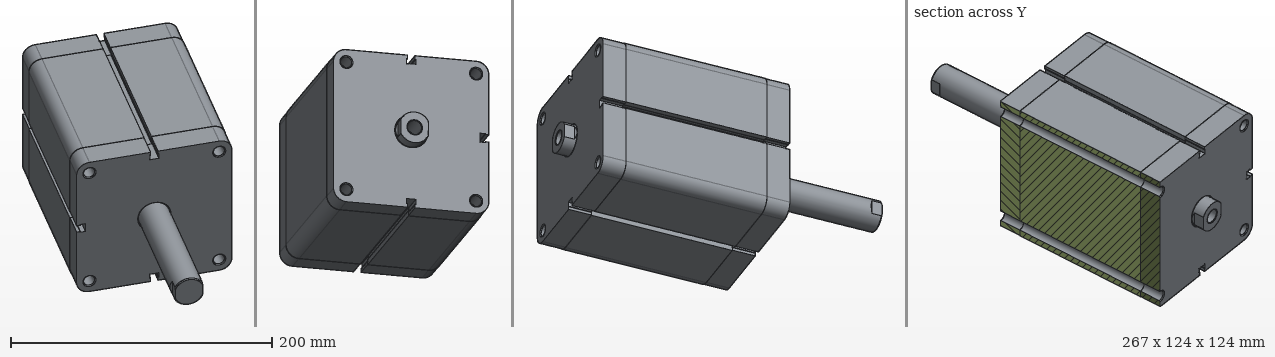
import cadquery as cq
import math

SHAFT_LENGTH = 267.0
CAP_START = 10.0
CAP_LENGTH = 19.2
BARREL_LENGTH = 118.3
BARREL_START = CAP_START + CAP_LENGTH
BARREL_END = BARREL_START + BARREL_LENGTH

BARREL_SIDE = 124.0
CAP_SIDE = 123.4
CAP_CORNER_RADIUS = 10.1
BARREL_CORNER_RADIUS = CAP_CORNER_RADIUS + (BARREL_SIDE - CAP_SIDE) / 2

TIE_ROD_SPACING = 103.0
TIE_ROD_HOLE_DIAMETER = 8.8
MOUTH_CHAMFER = 0.8

SLOT_MOUTH = 6.0
SLOT_DEPTH = 7.2
CAP_SLOT_WIDTH = 7.2
CAP_LIP_DEPTH = 3.2
BARREL_SLOT_WIDTH = 6.5
BARREL_LIP_DEPTH = 4.5
SLOT_SIDE_ANGLES = (0, 90, 180)

SHAFT_DIAMETER = 24.8
FLATS_WIDTH = 22.0
FLAT_LENGTH = 8.5
TIP_CHAMFER = 0.8
SOCKET_DIAMETER = 11.2
SOCKET_CHAMFER = 0.5
SOCKET_DEPTH = 24.0
DRILL_POINT_ANGLE = 118.0


def prism(x_start, length, width, height, z_center=0.0):
    """Rectangular bar along X, centred on the XZ plane."""
    bar = cq.Workplane("XY").box(length, width, height, centered=(False, True, True))
    return bar.translate((x_start, 0, z_center))


def rod(x_start, length, diameter):
    """Round bar along X on the main axis."""
    return cq.Workplane("YZ", origin=(x_start, 0, 0)).circle(diameter / 2).extrude(length)


def tie_rod_holes(x_start, length):
    """Cutters for the four corner holes."""
    plane = cq.Workplane("YZ", origin=(x_start, 0, 0))
    corners = plane.rect(TIE_ROD_SPACING, TIE_ROD_SPACING, forConstruction=True).vertices()
    return corners.circle(TIE_ROD_HOLE_DIAMETER / 2).extrude(length)


def t_slot(x_start, length, inner_width, lip_depth):
    """T-slot cutter on the +Z side: a narrow mouth over a wider channel."""
    barrel_face = BARREL_SIDE / 2
    channel_height = SLOT_DEPTH - lip_depth
    channel_center = barrel_face - lip_depth - channel_height / 2
    mouth = prism(x_start, length, SLOT_MOUTH, SLOT_DEPTH, barrel_face - SLOT_DEPTH / 2)
    channel = prism(x_start, length, inner_width, channel_height, channel_center)
    return mouth.union(channel)


def slotted_block(x_start, length, side, corner_radius, slot_width, lip_depth):
    """Rounded square block with a central bore, corner holes and three T-slots."""
    block = prism(x_start, length, side, side).edges("|X").fillet(corner_radius)
    block = block.cut(rod(x_start, length, SHAFT_DIAMETER))
    block = block.cut(tie_rod_holes(x_start, length))
    slot = t_slot(x_start, length, slot_width, lip_depth)
    for angle in SLOT_SIDE_ANGLES:
        block = block.cut(slot.rotate((0, 0, 0), (1, 0, 0), angle))
    return block


def make_cap(x_start, outer_face):
    cap = slotted_block(
        x_start, CAP_LENGTH, CAP_SIDE, CAP_CORNER_RADIUS, CAP_SLOT_WIDTH, CAP_LIP_DEPTH
    )
    hole_rims = cap.faces(outer_face).val().innerWires()
    rim_edges = [edge for rim in hole_rims for edge in rim.Edges()]
    return cap.newObject(rim_edges).chamfer(MOUTH_CHAMFER)


def make_barrel():
    return slotted_block(
        BARREL_START, BARREL_LENGTH, BARREL_SIDE, BARREL_CORNER_RADIUS,
        BARREL_SLOT_WIDTH, BARREL_LIP_DEPTH,
    )


def wrench_flat():
    """Cutter for the flat on the -Y side of the X = 0 end, with a 45 degree run-out."""
    flat_y = -FLATS_WIDTH / 2
    outer_y = -SHAFT_DIAMETER / 2
    runout = flat_y - outer_y
    outline = cq.Workplane("XY", origin=(0, 0, -SHAFT_DIAMETER / 2)).polyline([
        (0, flat_y),
        (FLAT_LENGTH, flat_y),
        (FLAT_LENGTH + runout, outer_y),
        (0, outer_y),
    ])
    return outline.close().extrude(SHAFT_DIAMETER)


def drilled_socket():
    """Blind drilled hole in the X = 0 end with a chamfered mouth and a conical bottom."""
    radius = SOCKET_DIAMETER / 2
    point_length = radius / math.tan(math.radians(DRILL_POINT_ANGLE / 2))
    profile = cq.Workplane("XY").polyline([
        (0, 0),
        (0, radius + SOCKET_CHAMFER),
        (SOCKET_CHAMFER, radius),
        (SOCKET_DEPTH, radius),
        (SOCKET_DEPTH + point_length, 0),
    ])
    return profile.close().revolve(360, (0, 0, 0), (1, 0, 0))


def make_shaft():
    shaft = rod(0, SHAFT_LENGTH, SHAFT_DIAMETER).faces(">X").edges().chamfer(TIP_CHAMFER)
    near_flat = wrench_flat()
    far_flat = near_flat.mirror("YZ").translate((SHAFT_LENGTH, 0, 0))
    for flat in (near_flat, far_flat):
        shaft = shaft.cut(flat).cut(flat.mirror("XZ"))
    return shaft.cut(drilled_socket())


caps = [make_cap(CAP_START, "<X"), make_cap(BARREL_END, ">X")]
barrel = make_barrel()
shaft = make_shaft()

result = cq.Compound.makeCompound([barrel.val(), shaft.val(), *[cap.val() for cap in caps]])